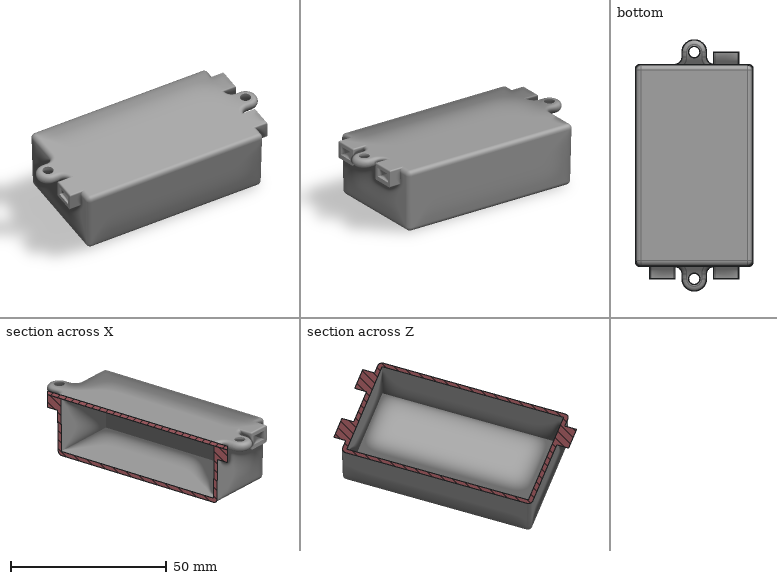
import cadquery as cq
import math

OVERALL_LENGTH = 81.0
CASE_WIDTH = 38.0
CASE_LENGTH = 65.1
CASE_HEIGHT = 21.5
DRAFT_ANGLE = 1.0
EDGE_RADIUS = 1.5
WALL = 1.6

LID_THICKNESS = EDGE_RADIUS
SEAM_Z = CASE_HEIGHT - LID_THICKNESS

EAR_RADIUS = 4.0
EAR_BLEND_RADIUS = 2.4
SCREW_HOLE_DIAMETER = 3.6
EAR_CENTER_Y = OVERALL_LENGTH / 2 - EAR_RADIUS

PORT_WIDTH = 8.2
PORT_X = 10.3
PORT_DEPTH = 4.45
PORT_EDGE_RADIUS = 0.5
WINDOW_WIDTH = 5.7
WINDOW_HEIGHT = 3.0
PORT_END_Y = EAR_CENTER_Y
PORT_ROOT_Y = CASE_LENGTH / 2 - EDGE_RADIUS
PORTS = [(-PORT_X, 1), (PORT_X, 1), (PORT_X, -1)]


def ear_outline():
    """Ear at the +Y end: a round tip blended into the end wall by two concave arcs."""
    wall_y = CASE_LENGTH / 2
    blend_y = wall_y + EAR_BLEND_RADIUS
    blend_x = EAR_RADIUS + EAR_BLEND_RADIUS
    arc_offset = EAR_BLEND_RADIUS * math.sqrt(0.5)
    mid_x = blend_x - arc_offset
    mid_y = blend_y - arc_offset
    return (
        cq.Workplane("XY")
        .moveTo(blend_x, 0)
        .lineTo(blend_x, wall_y)
        .threePointArc((mid_x, mid_y), (EAR_RADIUS, blend_y))
        .lineTo(EAR_RADIUS, EAR_CENTER_Y)
        .threePointArc((0, OVERALL_LENGTH / 2), (-EAR_RADIUS, EAR_CENTER_Y))
        .lineTo(-EAR_RADIUS, blend_y)
        .threePointArc((-mid_x, mid_y), (-blend_x, wall_y))
        .lineTo(-blend_x, 0)
        .close()
    )


def rounded_plate():
    """Case outline with both ears, standing on Z = 0 with its upper edges fully rounded."""
    blank_height = 2 * LID_THICKNESS
    ear = ear_outline().extrude(blank_height)
    blank = (
        cq.Workplane("XY")
        .rect(CASE_WIDTH, CASE_LENGTH)
        .extrude(blank_height)
        .union(ear)
        .union(ear.mirror("XZ"))
    )
    corner_edges = blank.edges("|Z").edges("<X or >X")
    blank = corner_edges.add(blank.faces(">Z").edges()).fillet(EDGE_RADIUS)
    surplus = blank_height - LID_THICKNESS
    return blank.translate((0, 0, -surplus)).intersect(
        cq.Workplane("XY").box(CASE_WIDTH, OVERALL_LENGTH, LID_THICKNESS, centered=(True, True, False))
    )


def port_block(x, end, width, root_y, bottom_z, height):
    """Box along Y from root_y out to the mouth of a port at the given end."""
    length = PORT_END_Y - root_y
    center_y = end * (root_y + length / 2)
    return (
        cq.Workplane("XY")
        .box(width, length, height, centered=(True, True, False))
        .translate((x, center_y, bottom_z))
    )


def screw_holes():
    """Through holes for both ears."""
    return (
        cq.Workplane("XY")
        .pushPoints([(0, EAR_CENTER_Y), (0, -EAR_CENTER_Y)])
        .circle(SCREW_HOLE_DIAMETER / 2)
        .extrude(CASE_HEIGHT)
    )


def lid_port(x, end):
    """Roof of a port, with its three free upper edges rounded."""
    outer_face = ">Y" if end > 0 else "<Y"
    block = port_block(x, end, PORT_WIDTH, PORT_ROOT_Y, SEAM_Z, LID_THICKNESS)
    side_edges = block.faces(">Z").edges("|Y")
    end_edge = block.faces(">Z").edges(outer_face)
    return side_edges.add(end_edge).fillet(PORT_EDGE_RADIUS)


def base_port(x, end):
    """Floor and cheeks of a port, solid until its window is cut."""
    block = port_block(x, end, PORT_WIDTH, PORT_ROOT_Y, SEAM_Z - PORT_DEPTH, PORT_DEPTH)
    return block.faces("<Z").edges("|Y").fillet(PORT_EDGE_RADIUS)


def port_window(x, end):
    """Passage from the cavity to the outer end of a port, open to the lid above."""
    return port_block(x, end, WINDOW_WIDTH, PORT_ROOT_Y - WALL, SEAM_Z - WINDOW_HEIGHT, WINDOW_HEIGHT)


def drafted_shell():
    """Outside of the base, narrowing downward from the seam, with rounded corners and bottom."""
    blank = (
        cq.Workplane("XY", origin=(0, 0, SEAM_Z))
        .rect(CASE_WIDTH, CASE_LENGTH)
        .extrude(-SEAM_Z, taper=DRAFT_ANGLE)
    )
    return blank.edges("not >Z").fillet(EDGE_RADIUS)


def cavity():
    """Inside of the base, parallel to the drafted walls and open to the lid."""
    return (
        cq.Workplane("XY", origin=(0, 0, SEAM_Z))
        .rect(CASE_WIDTH - 2 * WALL, CASE_LENGTH - 2 * WALL)
        .extrude(-(SEAM_Z - WALL), taper=DRAFT_ANGLE)
    )


def make_lid():
    """Flat lid with the upper half of each ear and the roof of each port."""
    lid = rounded_plate().translate((0, 0, SEAM_Z))
    for x, end in PORTS:
        lid = lid.union(lid_port(x, end))
    return lid.cut(screw_holes())


def make_base():
    """Hollow box with the lower half of each ear and the windowed ports."""
    lower_ears = rounded_plate().mirror("XY").translate((0, 0, SEAM_Z))
    base = drafted_shell().union(lower_ears)
    for x, end in PORTS:
        base = base.union(base_port(x, end))
    base = base.cut(screw_holes()).cut(cavity())
    for x, end in PORTS:
        base = base.cut(port_window(x, end))
    return base


lid = make_lid()
base = make_base()

result = cq.Compound.makeCompound([lid.solids().val(), base.solids().val()])